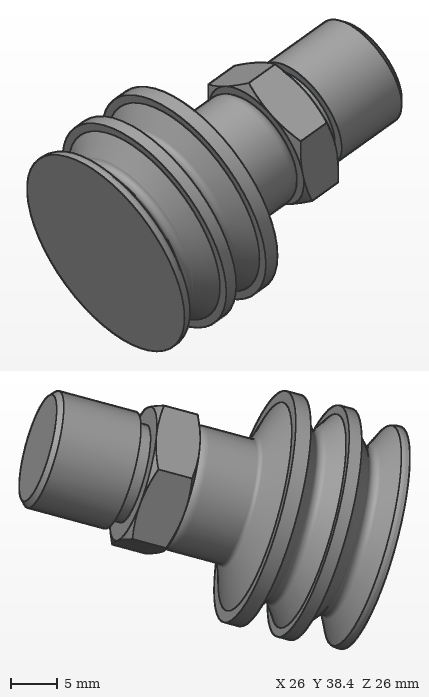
import cadquery as cq
import math


LIP_RADIUS = 25.0 / 2
LIP_RIM_LENGTH = 0.5
LIP_EDGE_RADIUS = 12.36
LIP_LENGTH = 0.95
LIP_ROUND_BULGE = 0.02

RING_RADIUS = 26.0 / 2
LOWER_RING_START = 5.73
LOWER_RING_END = 7.2
UPPER_RING_START = 11.6
UPPER_RING_END = 13.35
RING_ROOT_RADIUS = 12.0
SHOULDER_OUTER_RADIUS = 11.7

LOWER_THROAT_START = 2.38
LOWER_THROAT_END = 3.79
LOWER_THROAT_EDGE_RADIUS = 9.82
LOWER_THROAT_RADIUS = 9.36
UPPER_THROAT_START = 8.7
UPPER_THROAT_END = 9.96
UPPER_THROAT_EDGE_RADIUS = 9.97
UPPER_THROAT_RADIUS = 9.63

NECK_RADIUS = 14.0 / 2
SHOULDER_END = 15.1
SHOULDER_INNER_RADIUS = 7.3
NECK_START = 15.65
NECK_BLEND_SAG = 0.07
NECK_ROUND = 1.1
NECK_TOP_RADIUS = 6.4

HEX_START = 22.37
HEX_LENGTH = 5.0
HEX_ACROSS_FLATS = 15.0
HEX_CORNER_RADIUS = HEX_ACROSS_FLATS / math.sqrt(3)
HEX_CORNER_ANGLE = 42.0
HEX_CHAMFER_RADIUS = HEX_ACROSS_FLATS / 2
HEX_CHAMFER_HEIGHT = 0.55
HEX_END = HEX_START + HEX_LENGTH

RELIEF_RADIUS = 11.0 / 2
THREAD_RADIUS = 13.16 / 2
THREAD_START = 28.87
THREAD_CHAMFER = 0.6
TOTAL_LENGTH = 38.37


def revolve_about_y(outline):
    return outline.close().revolve(360, (0, 0, 0), (0, 1, 0))


def make_cup():
    """Sealing lip, two bellows rings, shoulder and neck."""
    lip_mid = (
        (LIP_RADIUS + LIP_EDGE_RADIUS) / 2 + LIP_ROUND_BULGE,
        (LIP_RIM_LENGTH + LIP_LENGTH) / 2,
    )
    lower_throat_mid = (LOWER_THROAT_RADIUS, (LOWER_THROAT_START + LOWER_THROAT_END) / 2)
    upper_throat_mid = (UPPER_THROAT_RADIUS, (UPPER_THROAT_START + UPPER_THROAT_END) / 2)
    blend_mid = (
        (SHOULDER_INNER_RADIUS + NECK_RADIUS) / 2 - NECK_BLEND_SAG,
        (SHOULDER_END + NECK_START) / 2 - NECK_BLEND_SAG,
    )
    round_drop = NECK_RADIUS - NECK_TOP_RADIUS
    outline = (
        cq.Workplane("XY")
        .lineTo(LIP_RADIUS, 0)
        .lineTo(LIP_RADIUS, LIP_RIM_LENGTH)
        .threePointArc(lip_mid, (LIP_EDGE_RADIUS, LIP_LENGTH))
        .lineTo(LOWER_THROAT_EDGE_RADIUS, LOWER_THROAT_START)
        .threePointArc(lower_throat_mid, (LOWER_THROAT_EDGE_RADIUS, LOWER_THROAT_END))
        .lineTo(RING_ROOT_RADIUS, LOWER_RING_START)
        .lineTo(RING_RADIUS, LOWER_RING_START)
        .lineTo(RING_RADIUS, LOWER_RING_END)
        .lineTo(RING_ROOT_RADIUS, LOWER_RING_END)
        .lineTo(UPPER_THROAT_EDGE_RADIUS, UPPER_THROAT_START)
        .threePointArc(upper_throat_mid, (UPPER_THROAT_EDGE_RADIUS, UPPER_THROAT_END))
        .lineTo(RING_ROOT_RADIUS, UPPER_RING_START)
        .lineTo(RING_RADIUS, UPPER_RING_START)
        .lineTo(RING_RADIUS, UPPER_RING_END)
        .lineTo(SHOULDER_OUTER_RADIUS, UPPER_RING_END)
        .lineTo(SHOULDER_INNER_RADIUS, SHOULDER_END)
        .threePointArc(blend_mid, (NECK_RADIUS, NECK_START))
        .lineTo(NECK_RADIUS, HEX_START - NECK_ROUND)
        .tangentArcPoint((-round_drop, NECK_ROUND))
        .lineTo(0, HEX_START)
    )
    return revolve_about_y(outline)


def make_hexagon():
    """Hexagon with conical chamfers on the corners of both faces."""
    corners = []
    for index in range(6):
        angle = math.radians(HEX_CORNER_ANGLE + 60 * index)
        corners.append((HEX_CORNER_RADIUS * math.cos(angle), HEX_CORNER_RADIUS * math.sin(angle)))
    prism = (
        cq.Workplane("XZ", origin=(0, HEX_START, 0))
        .polyline(corners)
        .close()
        .extrude(-HEX_LENGTH)
    )
    envelope = revolve_about_y(
        cq.Workplane("XY")
        .moveTo(0, HEX_START)
        .lineTo(HEX_CHAMFER_RADIUS, HEX_START)
        .lineTo(HEX_CORNER_RADIUS, HEX_START + HEX_CHAMFER_HEIGHT)
        .lineTo(HEX_CORNER_RADIUS, HEX_END - HEX_CHAMFER_HEIGHT)
        .lineTo(HEX_CHAMFER_RADIUS, HEX_END)
        .lineTo(0, HEX_END)
    )
    return prism.intersect(envelope)


def make_thread():
    """Relief groove and chamfered thread cylinder."""
    outline = (
        cq.Workplane("XY")
        .moveTo(0, HEX_END)
        .lineTo(RELIEF_RADIUS, HEX_END)
        .lineTo(RELIEF_RADIUS, THREAD_START)
        .lineTo(THREAD_RADIUS, THREAD_START)
        .lineTo(THREAD_RADIUS, TOTAL_LENGTH - THREAD_CHAMFER)
        .lineTo(THREAD_RADIUS - THREAD_CHAMFER, TOTAL_LENGTH)
        .lineTo(0, TOTAL_LENGTH)
    )
    return revolve_about_y(outline)


result = make_cup().union(make_hexagon()).union(make_thread())